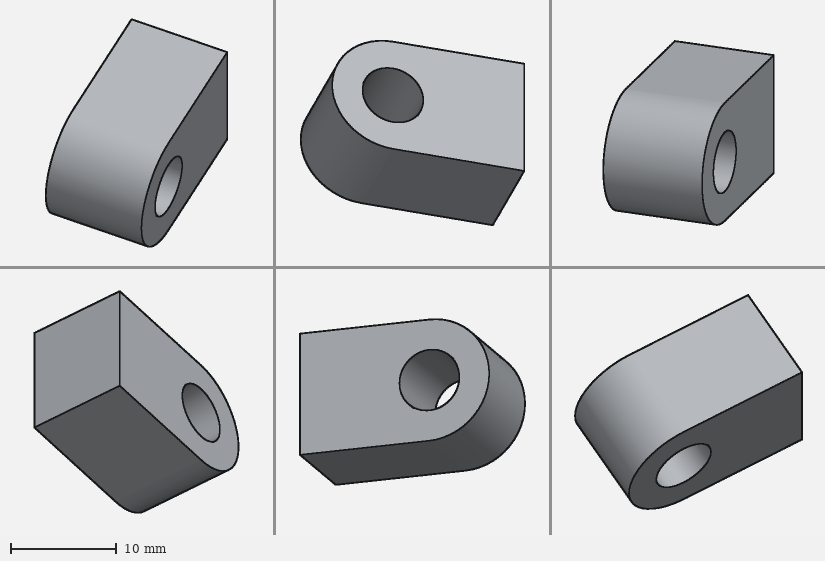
import cadquery as cq

length = 19.0
width = 10.0
height = 12.0
hole_diameter = height / 2

end_radius = height / 2
back_y = length - end_radius

body = (
    cq.Workplane("YZ")
    .moveTo(back_y, -end_radius)
    .lineTo(back_y, end_radius)
    .lineTo(0, end_radius)
    .threePointArc((-end_radius, 0), (0, -end_radius))
    .close()
    .extrude(width / 2, both=True)
)

pivot_hole = (
    cq.Workplane("YZ")
    .circle(hole_diameter / 2)
    .extrude(width / 2, both=True)
)

result = body.cut(pivot_hole)